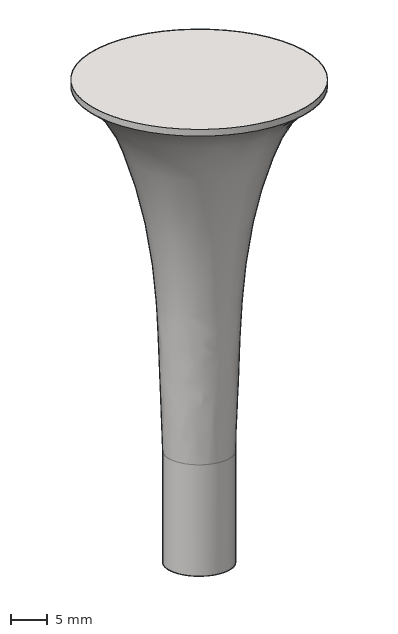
import cadquery as cq

total_height = 71.4
stem_diameter = 10.0
stem_height = 16.5
rim_diameter = 35.0
rim_thickness = 1.0

stem_radius = stem_diameter / 2
rim_radius = rim_diameter / 2
rim_bottom = total_height - rim_thickness

flare_points = [
    (stem_radius, stem_height),
    (5.4, 28.55),
    (6.1, 41.05),
    (7.8, 52.1),
    (10.7, 61.7),
    (14.6, 68.1),
    (rim_radius, rim_bottom),
]
flare_start_direction = (0.03, 1)
flare_end_direction = (1.5, 1)


def trumpet_profile():
    """Half section of the solid, with radius along X and height along Z."""
    return (
        cq.Workplane("XZ")
        .lineTo(stem_radius, 0)
        .lineTo(stem_radius, stem_height)
        .spline(
            flare_points[1:],
            tangents=[flare_start_direction, flare_end_direction],
            includeCurrent=True,
        )
        .lineTo(rim_radius, total_height)
        .lineTo(0, total_height)
        .close()
    )


result = trumpet_profile().revolve(360, (0, 0), (0, 1))